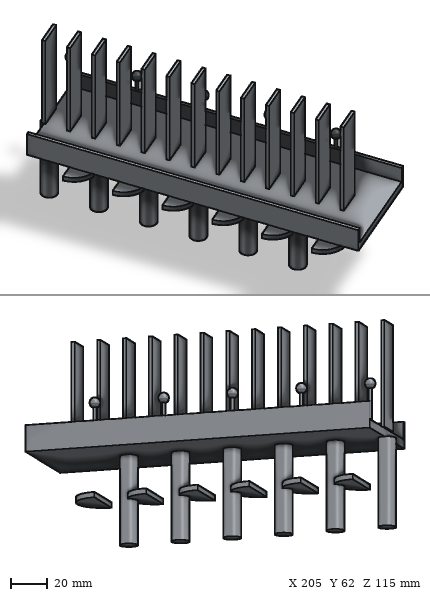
import cadquery as cq

OVERALL_LENGTH = 205.0

COLUMN_DIAMETER = 10.0
COLUMN_HEIGHT = 50.0
COLUMN_COUNT = 6

TRAY_LENGTH = OVERALL_LENGTH - COLUMN_DIAMETER / 2
TRAY_WIDTH = 60.0
FLOOR_THICKNESS = 5.0
WALL_THICKNESS = 2.0
WALL_TOP = 15.0
MID_Y = TRAY_WIDTH / 2

VANE_COUNT = 13
VANE_ROW_LENGTH = 180.0
VANE_PITCH = VANE_ROW_LENGTH / (VANE_COUNT - 1)
VANE_THICKNESS = 2.0
VANE_WIDTH = 15.0
VANE_HEIGHT = 60.0
COLUMN_PITCH = 2 * VANE_PITCH

PIN_COUNT = 5
PIN_DIAMETER = 2.0
PIN_PITCH = TRAY_LENGTH / PIN_COUNT
BALL_DIAMETER = 6.0
BALL_CENTRE_Z = 25.0

DISC_RADIUS = 15.0
DISC_THICKNESS = 3.0
DISC_BOTTOM_Z = -25.0


def make_tray():
    """Channel-shaped tray, extruded along X."""
    inner_rear = TRAY_WIDTH - WALL_THICKNESS
    return (
        cq.Workplane("YZ")
        .moveTo(0, 0)
        .lineTo(TRAY_WIDTH, 0)
        .lineTo(TRAY_WIDTH, WALL_TOP)
        .lineTo(inner_rear, WALL_TOP)
        .lineTo(inner_rear, FLOOR_THICKNESS)
        .lineTo(WALL_THICKNESS, FLOOR_THICKNESS)
        .lineTo(WALL_THICKNESS, WALL_TOP)
        .lineTo(0, WALL_TOP)
        .close()
        .extrude(TRAY_LENGTH)
    )


def make_vane(x):
    """Thin upright plate standing on the tray floor."""
    return (
        cq.Workplane("XY", origin=(x, MID_Y, FLOOR_THICKNESS))
        .rect(VANE_THICKNESS, VANE_WIDTH)
        .extrude(VANE_HEIGHT)
    )


def make_ball_pin(x):
    """Slender pin rising from the floor along the rear wall, with a ball on top."""
    y = TRAY_WIDTH - PIN_DIAMETER / 2
    pin = (
        cq.Workplane("XY", origin=(x, y, FLOOR_THICKNESS))
        .circle(PIN_DIAMETER / 2)
        .extrude(BALL_CENTRE_Z - FLOOR_THICKNESS)
    )
    ball = cq.Workplane("XY", origin=(x, y, BALL_CENTRE_Z)).sphere(BALL_DIAMETER / 2)
    return pin.union(ball)


def make_column(x):
    """Round column hanging from the underside of the tray."""
    return (
        cq.Workplane("XY", origin=(x, MID_Y, -COLUMN_HEIGHT))
        .circle(COLUMN_DIAMETER / 2)
        .extrude(COLUMN_HEIGHT)
    )


def make_half_disc(x):
    """Flat half disc with its straight edge at x and its round edge toward +X."""
    return (
        cq.Workplane("XY", origin=(x, MID_Y, DISC_BOTTOM_Z))
        .moveTo(0, -DISC_RADIUS)
        .threePointArc((DISC_RADIUS, 0), (0, DISC_RADIUS))
        .close()
        .extrude(DISC_THICKNESS)
    )


def make_frame(attached_discs):
    """Tray with its vanes, ball pins, columns and the half discs joined to columns."""
    frame = make_tray()
    for i in range(VANE_COUNT):
        frame = frame.union(make_vane(i * VANE_PITCH))
    for i in range(PIN_COUNT):
        frame = frame.union(make_ball_pin(i * PIN_PITCH))
    for i in range(COLUMN_COUNT):
        frame = frame.union(make_column(i * COLUMN_PITCH))
    for disc in attached_discs:
        frame = frame.union(disc)
    return frame


half_discs = [make_half_disc(i * COLUMN_PITCH + COLUMN_PITCH / 2) for i in range(COLUMN_COUNT)]
frame = make_frame(half_discs[:-1])
free_disc = half_discs[-1]

result = cq.Compound.makeCompound([frame.solids().val(), free_disc.val()])